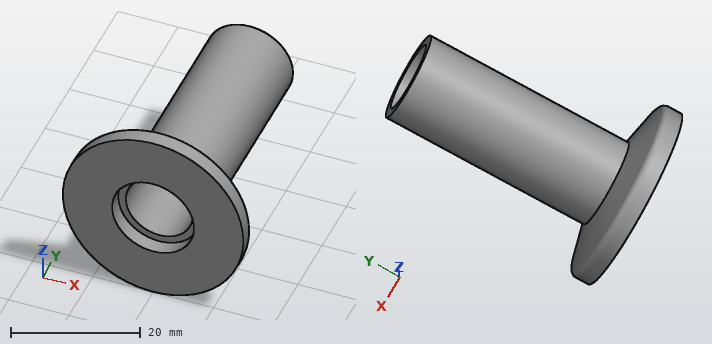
import cadquery as cq
import math

length = 40.0
flange_diameter = 30.0
tube_diameter = 14.4
bore_diameter = 11.1

rim_width = 3.0
cone_angle = 15.0
rim_fillet = 1.0

recess_diameter = 13.6
recess_depth = 2.6

flange_radius = flange_diameter / 2
tube_radius = tube_diameter / 2
cone_length = (flange_radius - tube_radius) * math.tan(math.radians(cone_angle))
cone_end = rim_width + cone_length


def make_flange():
    """Flange with a rounded edge between its rim and its conical back."""
    profile = (
        cq.Workplane("XY")
        .moveTo(0, 0)
        .lineTo(flange_radius, 0)
        .lineTo(flange_radius, rim_width)
        .lineTo(tube_radius, cone_end)
        .lineTo(0, cone_end)
        .close()
    )
    flange = profile.revolve(360, (0, 0, 0), (0, 1, 0))
    rim_edges = flange.edges(cq.selectors.RadiusNthSelector(-1))
    return rim_edges.edges(">Y").fillet(rim_fillet)


def cylinder_along_y(diameter, depth):
    """Cylinder on the Y axis, from the flange face toward +Y."""
    return cq.Workplane("XZ").circle(diameter / 2).extrude(-depth)


tube = cylinder_along_y(tube_diameter, length)
bore = cylinder_along_y(bore_diameter, length)
recess = cylinder_along_y(recess_diameter, recess_depth)

result = make_flange().union(tube).cut(bore).cut(recess)